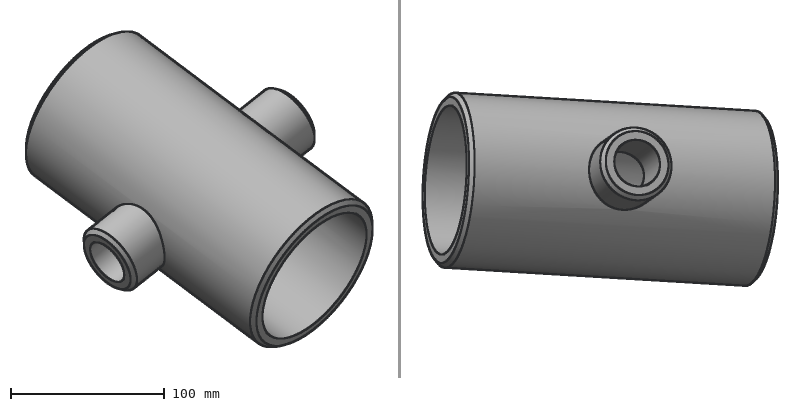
import cadquery as cq

pipe_length = 209.3
pipe_diameter = 114.3
pipe_bore = 97.1

branch_span = 171.6
branch_diameter = 48.3
branch_bore = 31.0

end_chamfer = 3.0


def centred_cylinder(plane, diameter, length):
    """Cylinder centred on the origin, along the normal of the plane."""
    return cq.Workplane(plane).circle(diameter / 2).extrude(length / 2, both=True)


def chamfered_bar(plane, diameter, length):
    """Centred cylinder with both outer end edges chamfered."""
    bar = centred_cylinder(plane, diameter, length)
    return bar.faces("%PLANE").edges().chamfer(end_chamfer)


body = chamfered_bar("YZ", pipe_diameter, pipe_length)
body = body.union(chamfered_bar("XZ", branch_diameter, branch_span))

body = body.cut(centred_cylinder("YZ", pipe_bore, pipe_length))
result = body.cut(centred_cylinder("XZ", branch_bore, branch_span))